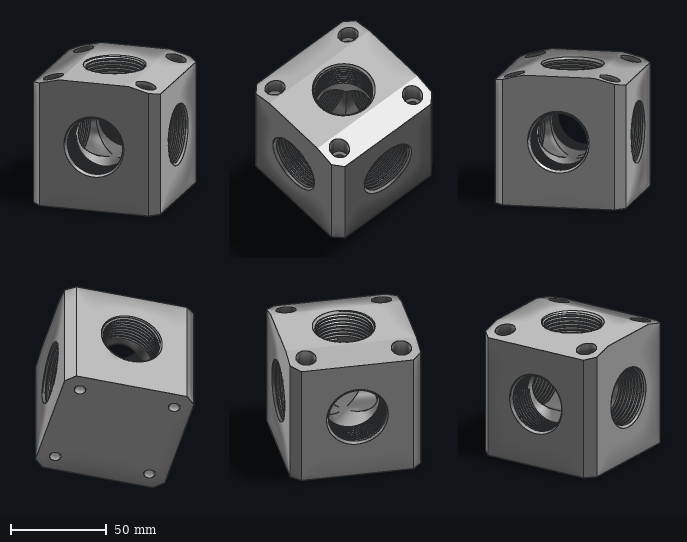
import cadquery as cq
import math

width = 70.0
height = 70.0
corner_chamfer = 5.0
flat_width = 38.0
shoulder_drop = 4.0

bore_height = height / 2
bore_diameter = 30.29
mouth_diameter = 33.0
thread_pitch = 2.0
thread_angle = 60.0
groove_width = 1.2
thread_turns = 8
thread_start_depth = 0.3
thread_overlap = 0.3

screw_spacing = 51.0
screw_diameter = 6.0
counterbore_diameter = 10.5
counterbore_depth = 12.0


def make_body():
    half_width = width / 2
    half_flat = flat_width / 2
    shoulder_height = height - shoulder_drop
    outline = [
        (-half_width, 0),
        (half_width, 0),
        (half_width, shoulder_height),
        (half_flat, height),
        (-half_flat, height),
        (-half_width, shoulder_height),
    ]
    body = cq.Workplane("XZ").polyline(outline).close().extrude(half_width, both=True)
    return body.edges("|Z").chamfer(corner_chamfer)


def make_thread(mouth_distance):
    """Helical V cutter inside a port whose axis is +Z."""
    bore_radius = bore_diameter / 2
    inner_radius = bore_radius - thread_overlap
    half_angle = math.radians(thread_angle / 2)
    half_base = groove_width / 2 + thread_overlap * math.tan(half_angle)
    tip_radius = bore_radius + (groove_width / 2) / math.tan(half_angle)
    groove = (
        cq.Workplane("XZ")
        .moveTo(inner_radius, -half_base)
        .lineTo(tip_radius, 0)
        .lineTo(inner_radius, half_base)
        .close()
    )
    thread_length = thread_turns * thread_pitch
    path = cq.Wire.makeHelix(thread_pitch, thread_length, bore_radius)
    thread = groove.sweep(cq.Workplane(path), isFrenet=True)
    base_height = mouth_distance - thread_start_depth - thread_length
    return thread.rotate((0, 0, 0), (0, 0, 1), 180).translate((0, 0, base_height))


def make_port(mouth_distance):
    """Cutter along +Z from the crossing of the bores: threaded bore with a conical mouth."""
    bore_radius = bore_diameter / 2
    mouth_radius = mouth_diameter / 2
    mouth_depth = mouth_radius - bore_radius
    bore = cq.Workplane("XY").circle(bore_radius).extrude(mouth_distance)
    threaded_bore = bore.union(make_thread(mouth_distance))
    mouth = cq.Solid.makeCone(bore_radius, mouth_radius, mouth_depth)
    return threaded_bore.union(mouth.translate((0, 0, mouth_distance - mouth_depth)))


def cut_ports(body):
    centre = (0, 0, bore_height)
    port = make_port(width / 2)
    lying_port = port.rotate((0, 0, 0), (1, 0, 0), 90)
    body = body.cut(port.translate(centre))
    for turn in range(4):
        side_port = lying_port.rotate((0, 0, 0), (0, 0, 1), turn * 90)
        body = body.cut(side_port.translate(centre))
    return body


def cut_screw_holes(body):
    seats = cq.Workplane("XY").rect(screw_spacing, screw_spacing, forConstruction=True).vertices()
    through = seats.circle(screw_diameter / 2).extrude(height)
    counterbores = seats.circle(counterbore_diameter / 2).extrude(counterbore_depth)
    counterbores = counterbores.translate((0, 0, height - counterbore_depth))
    return body.cut(through).cut(counterbores)


result = cut_screw_holes(cut_ports(make_body()))